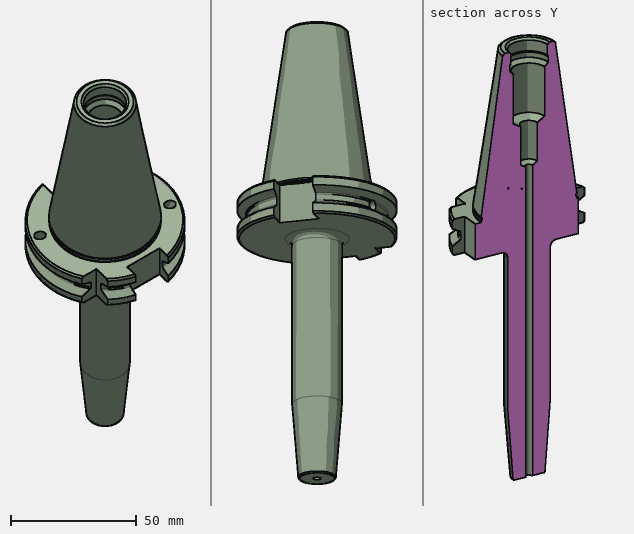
import cadquery as cq
import math


gauge_radius = 22.2
taper_length = 68.4
taper_ratio = 7 / 24
radius_slope = taper_ratio / 2
taper_overrun = 1.0
base_radius = gauge_radius + taper_overrun * radius_slope
end_radius = gauge_radius - taper_length * radius_slope
end_chamfer_width = 1.0
end_chamfer_height = 1.0

relief_depth = 0.5
relief_floor_width = 0.5
relief_top = -taper_overrun
relief_floor_top = relief_top - relief_depth
relief_floor_bottom = relief_floor_top - relief_floor_width
relief_bottom = relief_floor_bottom - relief_depth

flange_diameter = 63.5
flange_radius = flange_diameter / 2
flange_top = -3.2
flange_bottom = -19.0
flange_chamfer = 0.8

groove_centre = -11.1
groove_floor_radius = 28.0
groove_floor_width = 3.4
groove_corner_radius = 0.8
flank_angle = math.radians(30)
flank_height = (flange_radius - groove_floor_radius) * math.tan(flank_angle)
corner_turn = math.pi / 2 - flank_angle
corner_tangent = groove_corner_radius * math.tan(corner_turn / 2)
corner_outer_radius = groove_floor_radius + corner_tangent * math.cos(flank_angle)
floor_half = groove_floor_width / 2 - corner_tangent
corner_half = groove_floor_width / 2 + corner_tangent * math.sin(flank_angle)
mouth_half = groove_floor_width / 2 + flank_height

overall_length = 188.4
nose_bottom = taper_length - overall_length
nose_length = 31.5
nose_top = nose_bottom + nose_length
nose_radius = 7.5
nose_chamfer = 0.5
shank_radius = 10.0
shank_fillet = 2.8

slot_width = 16.2
left_slot_distance = 23.0
right_slot_distance = 25.0
notch_distance = 18.5

coolant_angles = (70, 250)
coolant_radius = 2.0
coolant_circle_radius = 27.1
coolant_tilt = math.radians(30)
coolant_meeting_radius = coolant_circle_radius - (flange_top - groove_centre) * math.tan(coolant_tilt)

mouth_radius = 9.5
pilot_radius = 8.5
pilot_depth = 5.7
undercut_radius = 8.9
undercut_start = 6.4
undercut_end = 8.7
thread_radius = 7.2
thread_depth = 32
channel_radius = 3.8
channel_depth = 50.9
tool_bore_radius = 1.5
drill_point_slope = math.tan(math.radians(30))

clearance = 1.9


def make_body():
    """Revolved outer shape, from the nose up to the taper end."""
    return (
        cq.Workplane("XZ")
        .moveTo(0, nose_bottom)
        .lineTo(nose_radius - nose_chamfer, nose_bottom)
        .lineTo(nose_radius, nose_bottom + nose_chamfer)
        .lineTo(shank_radius, nose_top)
        .lineTo(shank_radius, flange_bottom - shank_fillet)
        .radiusArc((shank_radius + shank_fillet, flange_bottom), shank_fillet)
        .lineTo(flange_radius - flange_chamfer, flange_bottom)
        .lineTo(flange_radius, flange_bottom + flange_chamfer)
        .lineTo(flange_radius, groove_centre - mouth_half)
        .lineTo(corner_outer_radius, groove_centre - corner_half)
        .radiusArc((groove_floor_radius, groove_centre - floor_half), groove_corner_radius)
        .lineTo(groove_floor_radius, groove_centre + floor_half)
        .radiusArc((corner_outer_radius, groove_centre + corner_half), groove_corner_radius)
        .lineTo(flange_radius, groove_centre + mouth_half)
        .lineTo(flange_radius, flange_top - flange_chamfer)
        .lineTo(flange_radius - flange_chamfer, flange_top)
        .lineTo(base_radius, flange_top)
        .lineTo(base_radius, relief_bottom)
        .lineTo(base_radius - relief_depth, relief_floor_bottom)
        .lineTo(base_radius - relief_depth, relief_floor_top)
        .lineTo(base_radius, relief_top)
        .lineTo(end_radius + end_chamfer_height * radius_slope, taper_length - end_chamfer_height)
        .lineTo(end_radius - end_chamfer_width, taper_length)
        .lineTo(0, taper_length)
        .close()
        .revolve(360, (0, 0, 0), (0, 1, 0))
    )


def make_bore():
    """Stepped bore along the whole axis, from the tool end up to the taper end."""
    thread_floor = taper_length - thread_depth
    thread_cone_bottom = thread_floor - (thread_radius - channel_radius) * drill_point_slope
    channel_floor = taper_length - channel_depth
    channel_cone_bottom = channel_floor - (channel_radius - tool_bore_radius) * drill_point_slope
    thread_top = taper_length - undercut_end - (undercut_radius - thread_radius)
    return (
        cq.Workplane("XZ")
        .moveTo(0, nose_bottom)
        .lineTo(tool_bore_radius, nose_bottom)
        .lineTo(tool_bore_radius, channel_cone_bottom)
        .lineTo(channel_radius, channel_floor)
        .lineTo(channel_radius, thread_cone_bottom)
        .lineTo(thread_radius, thread_floor)
        .lineTo(thread_radius, thread_top)
        .lineTo(undercut_radius, taper_length - undercut_end)
        .lineTo(undercut_radius, taper_length - undercut_start)
        .lineTo(pilot_radius, taper_length - pilot_depth)
        .lineTo(pilot_radius, taper_length - (mouth_radius - pilot_radius))
        .lineTo(mouth_radius, taper_length)
        .lineTo(0, taper_length)
        .close()
        .revolve(360, (0, 0, 0), (0, 1, 0))
    )


def flange_cutter(x_min, x_max, y_min, y_max):
    """Box that cuts through the full thickness of the flange."""
    size = (x_max - x_min, y_max - y_min, flange_top - flange_bottom)
    return cq.Workplane("XY", origin=(x_min, y_min, flange_bottom)).box(*size, centered=False)


def make_coolant_passage(angle):
    """Sloping hole and radial hole that meet below the flange face."""
    meeting_point = (coolant_meeting_radius, 0, groove_centre)
    slope_plane = cq.Plane(
        origin=meeting_point,
        xDir=(0, 1, 0),
        normal=(math.sin(coolant_tilt), 0, math.cos(coolant_tilt)),
    )
    slope_length = (flange_top - groove_centre) / math.cos(coolant_tilt) + clearance
    sloping_hole = cq.Workplane(slope_plane).circle(coolant_radius).extrude(slope_length)
    radial_length = groove_floor_radius - coolant_meeting_radius + clearance
    radial_hole = cq.Workplane("YZ", origin=meeting_point).circle(coolant_radius).extrude(radial_length)
    return sloping_hole.union(radial_hole).rotate((0, 0, 0), (0, 0, 1), angle)


outside = flange_radius + clearance
slot_half = slot_width / 2
left_slot = flange_cutter(-outside, -left_slot_distance, -slot_half, slot_half)
right_slot = flange_cutter(right_slot_distance, outside, -slot_half, slot_half)
notch = flange_cutter(notch_distance, outside, -outside, -notch_distance)
coolant_passages = [make_coolant_passage(angle) for angle in coolant_angles]

result = make_body()
for cutter in (left_slot, right_slot, notch, make_bore(), *coolant_passages):
    result = result.cut(cutter)